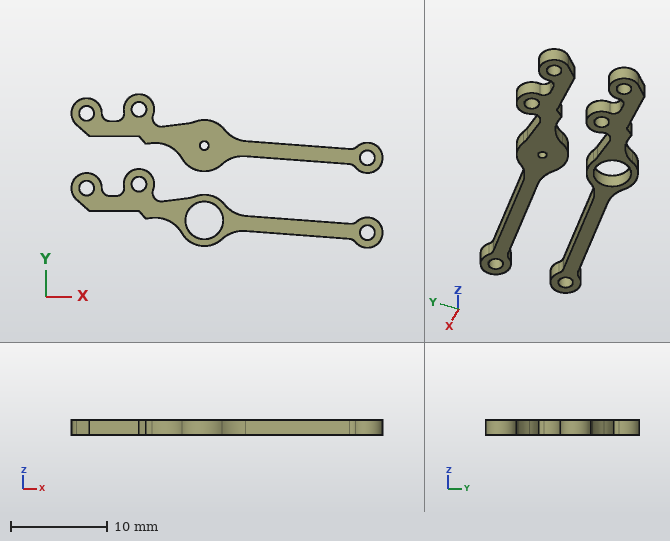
import cadquery as cq
import math

THICKNESS = 1.5875
BAND_WIDTH = 1.5875
LEVER_PITCH = 7.77

HUB = (0.0, 0.0)
HUB_RADIUS = 2.68
EYE_RADIUS = 1.5875
EYE_HOLE_DIAMETER = 1.52
TIP_EYE = (16.94, -1.27)
TAIL_EYE = (-12.225, 3.35)
MIDDLE_EYE = (-6.785, 3.765)

LARGE_BORE_DIAMETER = 3.9
SMALL_BORE_DIAMETER = 0.9

BRIDGE_BOTTOM = 0.965
BRIDGE_TOP = BRIDGE_BOTTOM + BAND_WIDTH
HEEL_X = -11.93
STEP_TOP_X = MIDDLE_EYE[0]
STEP_BOTTOM_X = -6.08
NECK_ANGLE = math.radians(7.1)
NECK_BOTTOM = 0.92
NECK_TOP = NECK_BOTTOM + BAND_WIDTH

HUB_BLEND = 3.175
TIP_BLEND = 0.9
NOTCH_BLEND = 0.79375
MIDDLE_EYE_BLEND = 0.9


def edge_blend(angle, offset, side, circle, circle_radius, blend, end):
    """Ends of a blend arc between a straight edge and a circle it meets from outside.

    The edge runs at `angle`, `offset` to the left of the hub centre. The blend
    lies to its left (side = 1) or right (side = -1), and ahead of (end = 1) or
    behind (end = -1) the circle centre. Returns the edge point and circle point.
    """
    along = (math.cos(angle), math.sin(angle))
    left = (-along[1], along[0])
    circle_along = circle[0] * along[0] + circle[1] * along[1]
    circle_left = circle[0] * left[0] + circle[1] * left[1]
    reach = circle_radius + blend
    center_left = offset + side * blend
    center_along = circle_along + end * math.sqrt(reach**2 - (center_left - circle_left) ** 2)

    center = [center_along * a + center_left * n for a, n in zip(along, left)]
    on_edge = tuple(c - side * blend * n for c, n in zip(center, left))
    on_circle = tuple(o + (c - o) * circle_radius / reach for o, c in zip(circle, center))
    return on_edge, on_circle


def tangent_point(corner, circle, radius):
    """Point where a line from `corner` touches the left flank of the circle above it."""
    dx = corner[0] - circle[0]
    dy = corner[1] - circle[1]
    angle = math.atan2(dy, dx) - math.acos(radius / math.hypot(dx, dy))
    return circle[0] + radius * math.cos(angle), circle[1] + radius * math.sin(angle)


def lever_outline():
    """Closed outline, counterclockwise from the heel corner."""
    arm_angle = math.atan2(TIP_EYE[1], TIP_EYE[0])
    half = BAND_WIDTH / 2
    heel = (HEEL_X, BRIDGE_BOTTOM)
    step_top = (STEP_TOP_X, BRIDGE_BOTTOM)
    step_bottom_y = STEP_BOTTOM_X * math.tan(NECK_ANGLE) + NECK_BOTTOM / math.cos(NECK_ANGLE)
    step_bottom = (STEP_BOTTOM_X, step_bottom_y)

    neck_low, hub_neck_low = edge_blend(NECK_ANGLE, NECK_BOTTOM, -1, HUB, HUB_RADIUS, HUB_BLEND, -1)
    neck_high, hub_neck_high = edge_blend(NECK_ANGLE, NECK_TOP, 1, HUB, HUB_RADIUS, HUB_BLEND, -1)
    arm_low, hub_arm_low = edge_blend(arm_angle, -half, -1, HUB, HUB_RADIUS, HUB_BLEND, 1)
    arm_high, hub_arm_high = edge_blend(arm_angle, half, 1, HUB, HUB_RADIUS, HUB_BLEND, 1)
    tip_low, eye_tip_low = edge_blend(arm_angle, -half, -1, TIP_EYE, EYE_RADIUS, TIP_BLEND, -1)
    tip_high, eye_tip_high = edge_blend(arm_angle, half, 1, TIP_EYE, EYE_RADIUS, TIP_BLEND, -1)
    neck_end, middle_right = edge_blend(NECK_ANGLE, NECK_TOP, 1, MIDDLE_EYE, EYE_RADIUS, MIDDLE_EYE_BLEND, 1)
    notch_right, middle_left = edge_blend(0, BRIDGE_TOP, 1, MIDDLE_EYE, EYE_RADIUS, NOTCH_BLEND, -1)
    notch_left, tail_right = edge_blend(0, BRIDGE_TOP, 1, TAIL_EYE, EYE_RADIUS, NOTCH_BLEND, 1)
    tail_left = tangent_point(heel, TAIL_EYE, EYE_RADIUS)

    path = cq.Workplane("XY").moveTo(*heel).lineTo(*step_top).lineTo(*step_bottom)
    edges_and_arcs = [
        (neck_low, [hub_neck_low, hub_arm_low, arm_low]),
        (tip_low, [eye_tip_low, eye_tip_high, tip_high]),
        (arm_high, [hub_arm_high, hub_neck_high, neck_high]),
        (neck_end, [middle_right, middle_left, notch_right]),
        (notch_left, [tail_right, tail_left]),
    ]
    for edge_end, arc_ends in edges_and_arcs:
        path = path.lineTo(*edge_end)
        for arc_end in arc_ends:
            path = path.tangentArcPoint(arc_end, relative=False)
    return path.close()


def make_lever(bore_diameter, hub_y):
    lever = lever_outline().extrude(THICKNESS)
    eye_holes = (
        cq.Workplane("XY")
        .pushPoints([TIP_EYE, TAIL_EYE, MIDDLE_EYE])
        .circle(EYE_HOLE_DIAMETER / 2)
        .extrude(THICKNESS)
    )
    bore = cq.Workplane("XY").circle(bore_diameter / 2).extrude(THICKNESS)
    return lever.cut(eye_holes).cut(bore).translate((0, hub_y, 0))


large_bore_lever = make_lever(LARGE_BORE_DIAMETER, 0)
small_bore_lever = make_lever(SMALL_BORE_DIAMETER, LEVER_PITCH)

result = cq.Compound.makeCompound([large_bore_lever.val(), small_bore_lever.val()])